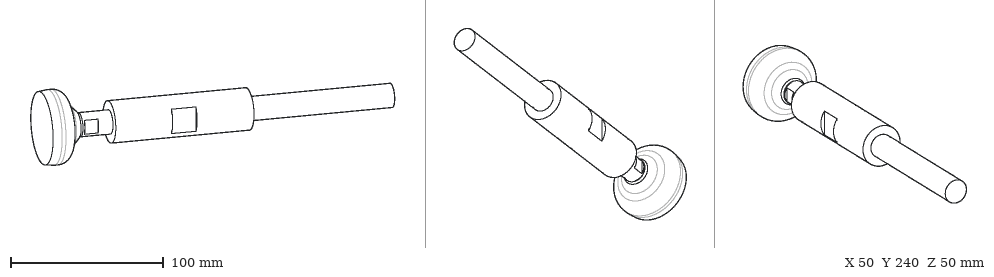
import cadquery as cq
import math


total_length = 240.0

foot_radius = 25.0
sole_radius = 24.2
sole_taper_height = 6.0
rim_top = 8.6
shoulder_radius = 8.6
flare_radius = 8.5
foot_top_radius = 9.0
foot_height = 24.0

spindle_diameter = 16.0
spindle_cone_top = 25.7
spindle_end_radius = 6.5
spindle_flat_width = 13.0
spindle_flat_start = 27.0
spindle_flat_length = 9.4

sleeve_diameter = 28.0
sleeve_start = 46.3
sleeve_length = 95.0
sleeve_flat_width = 22.5
sleeve_flat_length = 16.8


def rod(diameter, start, length):
    """Cylinder along +Y that begins at Y = start."""
    return cq.Workplane("XZ", origin=(0, start, 0)).circle(diameter / 2).extrude(-length)


def cut_wrench_flats(body, diameter, flat_width, start, length):
    """Cut two parallel flats on the -X and +X sides, flat_width apart."""
    for side in (-1, 1):
        cutter = (
            cq.Workplane("XY")
            .box(diameter, length, 2 * diameter)
            .translate((side * (flat_width + diameter) / 2, start + length / 2, 0))
        )
        body = body.cut(cutter)
    return body


def point_on_circle(center, radius, angle):
    """Point at an angle measured from +Y towards +X."""
    return (center[0] + radius * math.sin(angle), center[1] + radius * math.cos(angle))


def make_foot():
    """Revolved pad: 45 degree cone, concave flare, convex shoulder, rim and tapered sole."""
    cone_angle = math.pi / 4
    shoulder_center = (foot_radius - shoulder_radius, rim_top)

    center_gap = shoulder_radius + flare_radius
    cone_sum = foot_top_radius + foot_height
    rise = cone_sum - sum(shoulder_center) + math.sqrt(2) * flare_radius
    join_angle = math.asin(rise / (math.sqrt(2) * center_gap)) - cone_angle
    flare_center = point_on_circle(shoulder_center, center_gap, join_angle)

    cone_end = point_on_circle(flare_center, -flare_radius, cone_angle)
    flare_middle = point_on_circle(flare_center, -flare_radius, (cone_angle + join_angle) / 2)
    flare_end = point_on_circle(flare_center, -flare_radius, join_angle)
    shoulder_middle = point_on_circle(shoulder_center, shoulder_radius, (join_angle + math.pi / 2) / 2)

    return (
        cq.Workplane("XY")
        .lineTo(sole_radius, 0)
        .lineTo(foot_radius, sole_taper_height)
        .lineTo(foot_radius, rim_top)
        .threePointArc(shoulder_middle, flare_end)
        .threePointArc(flare_middle, cone_end)
        .lineTo(foot_top_radius, foot_height)
        .lineTo(0, foot_height)
        .close()
        .revolve(360, (0, 0, 0), (0, 1, 0))
    )


def make_spindle():
    """Round rod with a tapered end that stands on the foot, and two wrench flats."""
    spindle_radius = spindle_diameter / 2
    spindle = (
        cq.Workplane("XY")
        .moveTo(0, foot_height)
        .lineTo(spindle_end_radius, foot_height)
        .lineTo(spindle_radius, spindle_cone_top)
        .lineTo(spindle_radius, total_length)
        .lineTo(0, total_length)
        .close()
        .revolve(360, (0, 0, 0), (0, 1, 0))
    )
    return cut_wrench_flats(
        spindle, spindle_diameter, spindle_flat_width, spindle_flat_start, spindle_flat_length
    )


def make_sleeve():
    """Tube around the spindle with two wrench flats at mid-length."""
    sleeve = rod(sleeve_diameter, sleeve_start, sleeve_length)
    sleeve = sleeve.cut(rod(spindle_diameter, sleeve_start, sleeve_length))
    flat_start = sleeve_start + (sleeve_length - sleeve_flat_length) / 2
    return cut_wrench_flats(
        sleeve, sleeve_diameter, sleeve_flat_width, flat_start, sleeve_flat_length
    )


foot = make_foot()
spindle = make_spindle()
sleeve = make_sleeve()

result = cq.Compound.makeCompound([foot.val(), spindle.val(), sleeve.val()])